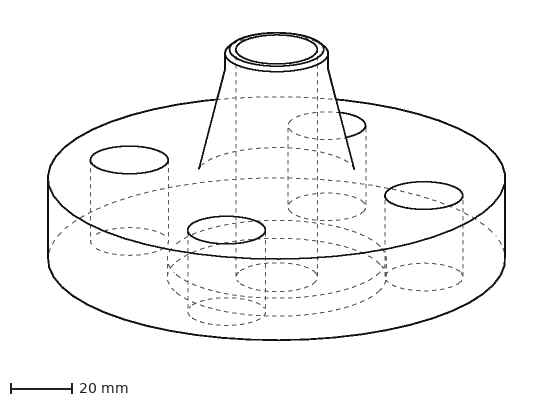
import cadquery as cq

flange_diameter = 149.3
total_height = 79.5

flange_thickness = 28.4
face_diameter = 71.5
face_height = 6.3

neck_diameter = 33.7
neck_base_diameter = 52.0
neck_straight_length = 7.2
neck_bevel_width = 1.5
neck_bevel_height = 1.3
neck_fillet_radius = 3.3
bore_diameter = 26.6

bolt_count = 4
bolt_circle_diameter = 101.5
bolt_hole_diameter = 25.4

flange_top = face_height + flange_thickness
straight_bottom = total_height - neck_straight_length


def make_flange():
    """Raised face with the flange disc on top of it, resting on Z = 0."""
    face = cq.Workplane("XY").circle(face_diameter / 2).extrude(face_height)
    disc = (
        cq.Workplane("XY")
        .workplane(offset=face_height)
        .circle(flange_diameter / 2)
        .extrude(flange_thickness)
    )
    return face.union(disc)


def make_neck():
    """Solid of revolution: cone, short straight end and weld bevel."""
    profile = [
        (0, flange_top),
        (neck_base_diameter / 2, flange_top),
        (neck_diameter / 2, straight_bottom),
        (neck_diameter / 2, total_height - neck_bevel_height),
        (neck_diameter / 2 - neck_bevel_width, total_height),
        (0, total_height),
    ]
    return cq.Workplane("XZ").polyline(profile).close().revolve(360, (0, 0, 0), (0, 1, 0))


def fillet_neck_root(body):
    """Blend the foot of the cone into the top of the flange."""
    reach = neck_base_diameter / 2 + neck_fillet_radius
    root = cq.selectors.BoxSelector(
        (-reach, -reach, flange_top - neck_fillet_radius),
        (reach, reach, flange_top + neck_fillet_radius),
        boundingbox=True,
    )
    return body.edges(root).fillet(neck_fillet_radius)


def cut_holes(body):
    """Through bore and the ring of bolt holes."""
    bore = cq.Workplane("XY").circle(bore_diameter / 2).extrude(total_height)
    bolts = (
        cq.Workplane("XY")
        .polarArray(bolt_circle_diameter / 2, 0, 360, bolt_count)
        .circle(bolt_hole_diameter / 2)
        .extrude(total_height)
    )
    return body.cut(bore).cut(bolts)


result = cut_holes(fillet_neck_root(make_flange().union(make_neck())))